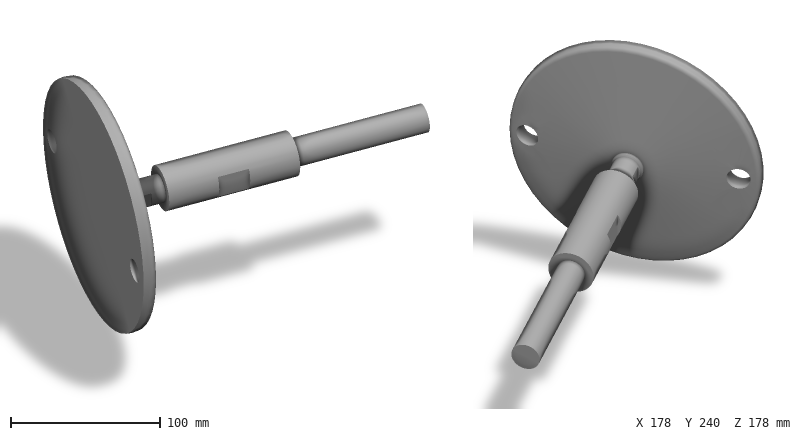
import cadquery as cq
import math


foot_radius = 178.0 / 2
widest_height = 4.1
rim_draft = math.tan(math.radians(7.0))
shoulder_height = 9.5
shoulder_fillet = 3.0

collar_radius = 22.4 / 2
collar_base = 22.3
collar_top = 26.2
collar_land = 0.8

hole_radius = 16.5 / 2
hole_offset = 72.7

rod_radius = 20.0 / 2
spindle_top = 240.0
rod_flat_width = 17.0
rod_flat_start = 27.0
rod_flat_length = 11.4

sleeve_radius = 32.0 / 2
sleeve_start = 48.5
sleeve_length = 95.0
sleeve_flat_width = 27.0
sleeve_flat_length = 22.5
sleeve_flat_start = sleeve_start + (sleeve_length - sleeve_flat_length) / 2


def cylinder_along_y(radius, start, length):
    return cq.Workplane("XZ", origin=(0, start, 0)).circle(radius).extrude(-length)


def cut_flats(body, radius, width, start, length):
    """Cut two opposite flats, square to X, leaving the given width between them."""
    depth = radius - width / 2
    cutter = cq.Workplane("XY").box(depth, length, 2 * radius)
    for side in (-1, 1):
        place = (side * (width + depth) / 2, start + length / 2, 0)
        body = body.cut(cutter.translate(place))
    return body


def make_foot():
    base_radius = foot_radius - widest_height * rim_draft
    shoulder_radius = foot_radius - (shoulder_height - widest_height) * rim_draft
    chamfer_top = collar_top - collar_land
    chamfer_base = chamfer_top - (collar_radius - rod_radius)

    shoulder = cq.Vector(shoulder_radius, shoulder_height, 0)
    rim_direction = cq.Vector(-rim_draft, 1, 0).normalized()
    cone_direction = (cq.Vector(collar_radius, collar_base, 0) - shoulder).normalized()
    tangent_length = shoulder_fillet * math.tan(rim_direction.getAngle(cone_direction) / 2)
    arc_start = shoulder - rim_direction * tangent_length
    arc_end = shoulder + cone_direction * tangent_length

    foot = (
        cq.Workplane("XY")
        .lineTo(base_radius, 0)
        .lineTo(foot_radius, widest_height)
        .lineTo(arc_start.x, arc_start.y)
        .tangentArcPoint((arc_end.x, arc_end.y), relative=False)
        .lineTo(collar_radius, collar_base)
        .lineTo(collar_radius, chamfer_base)
        .lineTo(rod_radius, chamfer_top)
        .lineTo(rod_radius, collar_top)
        .lineTo(0, collar_top)
        .close()
        .revolve(360, (0, 0, 0), (0, 1, 0))
    )
    for side in (-1, 1):
        hole_axis = cq.Vector(side * cone_direction.y, -cone_direction.x, 0)
        hole_start = cq.Vector(side * hole_offset, 0, 0) - hole_axis * collar_top
        hole = cq.Solid.makeCylinder(hole_radius, 2 * collar_top, hole_start, hole_axis)
        foot = foot.cut(cq.Workplane(hole))
    return foot


def make_spindle():
    rod = cylinder_along_y(rod_radius, collar_top, spindle_top - collar_top)
    rod = cut_flats(rod, rod_radius, rod_flat_width, rod_flat_start, rod_flat_length)
    sleeve = cylinder_along_y(sleeve_radius, sleeve_start, sleeve_length)
    sleeve = cut_flats(sleeve, sleeve_radius, sleeve_flat_width, sleeve_flat_start, sleeve_flat_length)
    return rod.union(sleeve)


foot = make_foot()
spindle = make_spindle()

result = cq.Compound.makeCompound([foot.solids().val(), spindle.solids().val()])